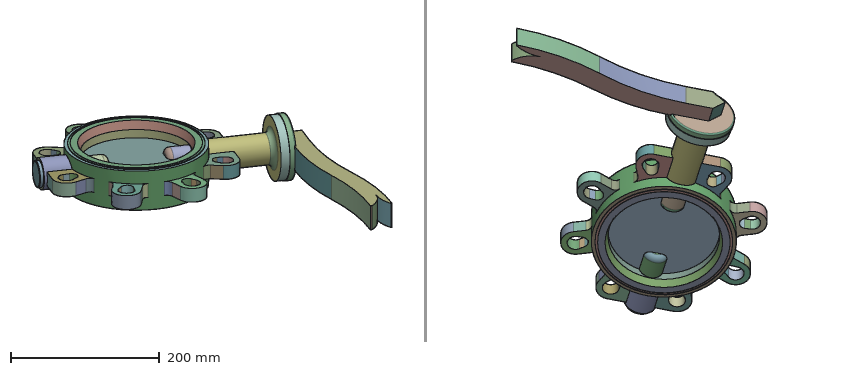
import cadquery as cq
import math


ring_radius = 97.5
ring_half_height = 28.5
sealing_face_radius = 92.5
sealing_face_height = 29.5
seat_face_radius = 89.0
seat_face_height = 30.0

mouth_radius = 79.0
bore_radius = 75.0
mouth_depth = 12.0
disc_half_thickness = 6.0

hub_radius = 17.0
hub_inner_end = 40.0
hub_rounding = 8.0

lug_count = 8
lug_pitch = 360.0 / lug_count
lug_half_thickness = 10.0
lug_radius = 20.0
bolt_circle_radius = 120.0
bolt_hole_radius = 11.3
inner_circle_radius = 111.3
inner_hole_radius = 8.5
lug_root_fillet = 9.0

neck_radius = 22.0
trunnion_end = 135.0
cap_radius = 18.5
cap_end = 140.5
cap_chamfer = 1.0
flange_bottom = 189.5
flange_top = 202.0
flange_radius = 45.0
neck_fillet = 8.0

plate_radius = 46.0
plate_top = 211.5
plate_rounding = 2.0
lever_half_width = 17.5
lever_point_x = -26.5
lever_shoulder_x = -9.5
lever_end_x = 273.0
upper_start = (28.0, 234.5)
upper_middle = (153.0, 257.5)
upper_end = (lever_end_x, 279.0)
lower_start = (44.0, 209.0)
lower_middle = (155.0, 228.0)
lower_end = (lever_end_x, 248.5)
notch_root = (238.0, 266.5)
upper_tip_thickness = 1.5
lower_tip_thickness = 2.5


def on_stem_axis(profile_points):
    """Solid of revolution about Y from (radius, y) points."""
    profile = cq.Workplane("XY").polyline(profile_points).close()
    return profile.revolve(360, (0, 0, 0), (0, 1, 0))


def make_ring():
    """Solid ring blank with a stepped sealing face on both sides."""
    ring = cq.Workplane("XY").circle(ring_radius).extrude(ring_half_height, both=True)
    sealing_face = cq.Workplane("XY").circle(sealing_face_radius).extrude(sealing_face_height, both=True)
    seat_face = cq.Workplane("XY").circle(seat_face_radius).extrude(seat_face_height, both=True)
    return ring.union(sealing_face).union(seat_face)


def make_pocket():
    """Space above the disc: straight bore opening into a conical mouth."""
    mouth_start = seat_face_height - mouth_depth
    return (
        cq.Workplane("XZ")
        .moveTo(0, disc_half_thickness)
        .lineTo(bore_radius, disc_half_thickness)
        .lineTo(bore_radius, mouth_start)
        .lineTo(mouth_radius, seat_face_height)
        .lineTo(0, seat_face_height)
        .close()
        .revolve(360, (0, 0, 0), (0, 1, 0))
    )


def make_hub():
    """Round-ended hub on the +Y side of the disc, reaching into the ring wall."""
    hub_length = (ring_radius + mouth_radius) / 2 - hub_inner_end
    hub = cq.Workplane("XZ", origin=(0, hub_inner_end, 0)).circle(hub_radius).extrude(-hub_length)
    return hub.faces("<Y").edges().fillet(hub_rounding)


def make_lug():
    """One lug along +X, with concave fillets running into the ring."""
    fillet_centre_radius = ring_radius + lug_root_fillet
    fillet_centre_y = lug_radius + lug_root_fillet
    root_angle = math.asin(fillet_centre_y / fillet_centre_radius)
    fillet_centre_x = fillet_centre_radius * math.cos(root_angle)
    root = (ring_radius * math.cos(root_angle), ring_radius * math.sin(root_angle))
    middle_angle = (root_angle + math.pi / 2) / 2
    middle = (
        fillet_centre_x - lug_root_fillet * math.cos(middle_angle),
        fillet_centre_y - lug_root_fillet * math.sin(middle_angle),
    )
    return (
        cq.Workplane("XY")
        .moveTo(root[0], root[1])
        .threePointArc(middle, (fillet_centre_x, lug_radius))
        .lineTo(bolt_circle_radius, lug_radius)
        .threePointArc((bolt_circle_radius + lug_radius, 0), (bolt_circle_radius, -lug_radius))
        .lineTo(fillet_centre_x, -lug_radius)
        .threePointArc((middle[0], -middle[1]), (root[0], -root[1]))
        .lineTo(mouth_radius, 0)
        .close()
        .extrude(lug_half_thickness, both=True)
    )


def make_bolt_hole():
    """Tapered oblong hole along +X: a large and a small circle joined by tangents."""
    spacing = bolt_circle_radius - inner_circle_radius
    tangent_angle = math.acos((bolt_hole_radius - inner_hole_radius) / spacing)
    tangent_x = math.cos(tangent_angle)
    tangent_y = math.sin(tangent_angle)
    outer_x = bolt_circle_radius - bolt_hole_radius * tangent_x
    outer_y = bolt_hole_radius * tangent_y
    inner_x = inner_circle_radius - inner_hole_radius * tangent_x
    inner_y = inner_hole_radius * tangent_y
    return (
        cq.Workplane("XY")
        .moveTo(outer_x, outer_y)
        .threePointArc((bolt_circle_radius + bolt_hole_radius, 0), (outer_x, -outer_y))
        .lineTo(inner_x, -inner_y)
        .threePointArc((inner_circle_radius - inner_hole_radius, 0), (inner_x, inner_y))
        .close()
        .extrude(lug_half_thickness, both=True)
    )


def make_stem_webs():
    """Plate across the ring that joins the two lugs beside the stem at each end."""
    first_lug_angle = math.radians(lug_pitch / 2)
    half_width = bolt_circle_radius * math.sin(first_lug_angle)
    reach = bolt_circle_radius * math.cos(first_lug_angle) + lug_radius
    return cq.Workplane("XY").box(2 * half_width, 2 * reach, 2 * lug_half_thickness)


def make_neck():
    """Stem neck on +Y, flaring into the mounting flange."""
    flare_offset = neck_fillet * (1 - math.sqrt(0.5))
    return (
        cq.Workplane("XY")
        .lineTo(neck_radius, 0)
        .lineTo(neck_radius, flange_bottom - neck_fillet)
        .threePointArc(
            (neck_radius + flare_offset, flange_bottom - flare_offset),
            (neck_radius + neck_fillet, flange_bottom),
        )
        .lineTo(flange_radius, flange_bottom)
        .lineTo(flange_radius, flange_top)
        .lineTo(0, flange_top)
        .close()
        .revolve(360, (0, 0, 0), (0, 1, 0))
    )


def make_trunnion():
    """Lower stem bearing on -Y with a chamfered end cap."""
    return on_stem_axis([
        (0, 0),
        (neck_radius, 0),
        (neck_radius, -trunnion_end),
        (cap_radius, -trunnion_end),
        (cap_radius, -cap_end + cap_chamfer),
        (cap_radius - cap_chamfer, -cap_end),
        (0, -cap_end),
    ])


def make_valve():
    valve = make_ring().union(make_stem_webs()).union(make_neck()).union(make_trunnion())
    lug_angles = [lug_pitch * (index + 0.5) for index in range(lug_count)]
    for angle in lug_angles:
        valve = valve.union(make_lug().rotate((0, 0, 0), (0, 0, 1), angle))
    for angle in lug_angles:
        valve = valve.cut(make_bolt_hole().rotate((0, 0, 0), (0, 0, 1), angle))
    pocket = make_pocket()
    valve = valve.cut(pocket).cut(pocket.mirror("XY"))
    hub = make_hub()
    return valve.union(hub).union(hub.mirror("XZ"))


def flat_arc_middle(flat_point, other_point):
    """Middle of the arc that is parallel to X at flat_point and ends at other_point."""
    run = other_point[0] - flat_point[0]
    rise = other_point[1] - flat_point[1]
    half_sweep = math.atan(rise / run)
    radius = run / math.sin(2 * half_sweep)
    return (
        flat_point[0] + radius * math.sin(half_sweep),
        flat_point[1] + radius * (1 - math.cos(half_sweep)),
    )


def make_lever():
    """S-shaped handle with a swallowtail end and a wedge nose, on a round plate."""
    upper_tip = (lever_end_x, upper_end[1] - upper_tip_thickness)
    lower_tip = (lever_end_x, lower_end[1] + lower_tip_thickness)
    handle = (
        cq.Workplane("XY")
        .moveTo(lever_shoulder_x, lower_start[1])
        .lineTo(*lower_start)
        .threePointArc(flat_arc_middle(lower_start, lower_middle), lower_middle)
        .threePointArc(flat_arc_middle(lower_end, lower_middle), lower_end)
        .lineTo(*lower_tip)
        .threePointArc(flat_arc_middle(notch_root, lower_tip), notch_root)
        .threePointArc(flat_arc_middle(notch_root, upper_tip), upper_tip)
        .lineTo(*upper_end)
        .threePointArc(flat_arc_middle(upper_end, upper_middle), upper_middle)
        .threePointArc(flat_arc_middle(upper_start, upper_middle), upper_start)
        .lineTo(lever_shoulder_x, upper_start[1])
        .close()
        .extrude(lever_half_width, both=True)
    )
    nose = (
        cq.Workplane("XZ", origin=(0, lower_start[1], 0))
        .moveTo(lever_point_x, 0)
        .lineTo(lever_shoulder_x, lever_half_width)
        .lineTo(lever_shoulder_x, -lever_half_width)
        .close()
        .extrude(lower_start[1] - upper_start[1])
    )
    plate = cq.Workplane("XZ", origin=(0, flange_top, 0)).circle(plate_radius).extrude(flange_top - plate_top)
    plate = plate.faces(">Y").edges().fillet(plate_rounding)
    return plate.union(handle).union(nose)


valve = make_valve()
lever = make_lever()

result = cq.Compound.makeCompound([valve.solids().val(), lever.solids().val()])